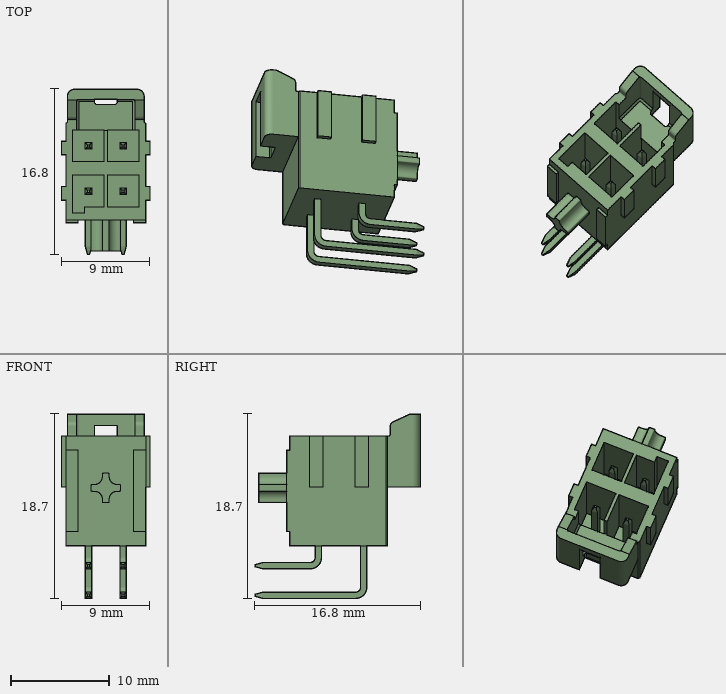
import cadquery as cq


BODY_WIDTH = 8.1
BODY_DEPTH = 9.92
BODY_HEIGHT = 11.15
BODY_REAR_CHAMFER = 0.15

COLUMN_PITCH = 3.5
ROW_PITCH = 4.6
FRONT_ROW_Y = 2.91
REAR_ROW_Y = FRONT_ROW_Y + ROW_PITCH
COLUMN_XS = (-COLUMN_PITCH / 2, COLUMN_PITCH / 2)
ROW_YS = (FRONT_ROW_Y, REAR_ROW_Y)

CAVITY_WIDTH = 3.22
CAVITY_DEPTH = 3.2
CAVITY_WALL = 0.34
CAVITY_FLOOR_Z = 1.5
CAVITY_OFFSET_X = (CAVITY_WIDTH + CAVITY_WALL) / 2
CAVITY_OUTER_X = CAVITY_WIDTH + CAVITY_WALL / 2
CAVITY_SHIFT_Y = 0.03
FRONT_CAVITY_Y = FRONT_ROW_Y + CAVITY_SHIFT_Y
REAR_CAVITY_BACK_Y = REAR_ROW_Y + CAVITY_SHIFT_Y + CAVITY_DEPTH / 2
DIVIDER_SETBACK = 0.08
KEY_WIDTH = 1.25
KEY_DEPTH = 0.65

HOOD_WIDTH = 7.8
HOOD_REAR_Y = 13.26
HOOD_BOTTOM_Z = 5.95
HOOD_TOP_Z = 13.35
HOOD_CORNER_RADIUS = 0.75
HOOD_REAR_WALL = 1.03
HOOD_INNER_WIDTH = 5.9
HOOD_INNER_REAR_Y = HOOD_REAR_Y - HOOD_REAR_WALL
HOOD_FLOOR_Z = 7.2
HOOD_INNER_RADIUS = 0.25
HOOD_FLOOR_CHAMFER = 0.22
CHEEK_FRONT_Y = 10.18
CHEEK_SLOPE_REAR_Y = 12.15
CHEEK_SLOPE_FRONT_Z = 12.43
CHEEK_TOP_RADIUS = 0.5
CHEEK_FOOT_RADIUS = 0.15

WINDOW_WIDTH = 2.28
WINDOW_TOP_Z = 12.2
WINDOW_FLOOR_REACH = 0.52
WINDOW_CORNER_CHAMFER = 0.15

RIB_SPAN = 9.0
RIB_DEPTH = 1.4
FRONT_RIB_Y = 2.7
RIB_YS = (FRONT_RIB_Y, FRONT_RIB_Y + ROW_PITCH)

PAD_WIDTH = 1.25
PAD_THICKNESS = 0.3
PAD_BOTTOM_Z = 1.45
PAD_TOP_Z = BODY_HEIGHT - PAD_BOTTOM_Z

PEG_Z = 5.88
PEG_SPAN = 3.0
PEG_ARM_WIDTH = 0.68
PEG_LENGTH = 3.14
PEG_ROOT_RADIUS = 0.82
PEG_TIP_RADIUS = 0.1

PIN_SIZE = 0.66
PIN_TIP_SIZE = 0.22
PIN_TAPER = 0.8
PIN_TAIL_Y = -3.5
PIN_TOP_Z = 9.5
FRONT_PIN_TAIL_Z = -2.0
REAR_PIN_TAIL_Z = -5.0
PIN_INNER_RADIUS = 0.5


def box(x_range, y_range, z_range):
    """Axis-aligned block between the given limits."""
    size = [high - low for low, high in (x_range, y_range, z_range)]
    corner = (x_range[0], y_range[0], z_range[0])
    return cq.Workplane("XY").box(*size, centered=False).translate(corner)


def centred_box(width, y_range, z_range):
    """Block centred on X = 0."""
    return box((-width / 2, width / 2), y_range, z_range)


def make_body():
    body = centred_box(BODY_WIDTH, (0, BODY_DEPTH), (0, BODY_HEIGHT))
    return body.edges("|Z and >Y").chamfer(BODY_REAR_CHAMFER)


def make_ribs():
    ribs = cq.Workplane("XY")
    for y in RIB_YS:
        y_range = (y - RIB_DEPTH / 2, y + RIB_DEPTH / 2)
        ribs = ribs.union(centred_box(RIB_SPAN, y_range, (HOOD_BOTTOM_Z, BODY_HEIGHT)))
    return ribs


def make_pads():
    half = BODY_WIDTH / 2
    pads = cq.Workplane("XY")
    for x_range in ((-half, PAD_WIDTH - half), (half - PAD_WIDTH, half)):
        pads = pads.union(box(x_range, (-PAD_THICKNESS, 0), (PAD_BOTTOM_Z, PAD_TOP_Z)))
    return pads


def make_peg():
    def bar(width, height):
        section = cq.Workplane("XZ").center(0, PEG_Z).rect(width, height)
        return section.extrude(PEG_LENGTH).edges("|Y").fillet(PEG_TIP_RADIUS)

    peg = bar(PEG_SPAN, PEG_ARM_WIDTH).union(bar(PEG_ARM_WIDTH, PEG_SPAN))
    root_box = cq.selectors.BoxSelector(
        (-PEG_ARM_WIDTH, -PEG_LENGTH, PEG_Z - PEG_ARM_WIDTH),
        (PEG_ARM_WIDTH, 0, PEG_Z + PEG_ARM_WIDTH),
    )
    return peg.edges("|Y").edges(root_box).fillet(PEG_ROOT_RADIUS)


def make_hood():
    """Solid hood; its side profile steps down from the tall cheeks to the housing top."""
    profile = (
        cq.Workplane("YZ")
        .moveTo(REAR_CAVITY_BACK_Y, HOOD_BOTTOM_Z)
        .lineTo(HOOD_REAR_Y, HOOD_BOTTOM_Z)
        .lineTo(HOOD_REAR_Y, HOOD_TOP_Z)
        .lineTo(CHEEK_SLOPE_REAR_Y, HOOD_TOP_Z)
        .lineTo(CHEEK_FRONT_Y, CHEEK_SLOPE_FRONT_Z)
        .lineTo(CHEEK_FRONT_Y, BODY_HEIGHT)
        .lineTo(REAR_CAVITY_BACK_Y, BODY_HEIGHT)
        .close()
    )
    hood = profile.extrude(HOOD_WIDTH / 2, both=True)
    hood = hood.edges("|Z and >Y").fillet(HOOD_CORNER_RADIUS)
    cheek_top = cq.selectors.NearestToPointSelector((0, CHEEK_FRONT_Y, CHEEK_SLOPE_FRONT_Z))
    cheek_foot = cq.selectors.NearestToPointSelector((0, CHEEK_FRONT_Y, BODY_HEIGHT))
    hood = hood.edges("|X").edges(cheek_top).fillet(CHEEK_TOP_RADIUS)
    return hood.edges("|X").edges(cheek_foot).fillet(CHEEK_FOOT_RADIUS)


def make_hood_channel():
    """Space inside the hood, open at the top and into the rear cavities."""
    y_range = (REAR_CAVITY_BACK_Y - DIVIDER_SETBACK, HOOD_INNER_REAR_Y)
    channel = centred_box(HOOD_INNER_WIDTH, y_range, (HOOD_FLOOR_Z, HOOD_TOP_Z))
    channel = channel.edges("|Z and >Y").fillet(HOOD_INNER_RADIUS)
    return channel.faces("<Z").edges("not(<Y)").chamfer(HOOD_FLOOR_CHAMFER)


def make_window():
    y_range = (HOOD_INNER_REAR_Y - WINDOW_FLOOR_REACH, HOOD_REAR_Y)
    window = centred_box(WINDOW_WIDTH, y_range, (HOOD_BOTTOM_Z, WINDOW_TOP_Z))
    return window.edges("|Z and <Y").chamfer(WINDOW_CORNER_CHAMFER)


def make_cavities():
    points = [
        (side * CAVITY_OFFSET_X, y + CAVITY_SHIFT_Y) for side in (-1, 1) for y in ROW_YS
    ]
    cavities = (
        cq.Workplane("XY")
        .workplane(offset=CAVITY_FLOOR_Z)
        .pushPoints(points)
        .rect(CAVITY_WIDTH, CAVITY_DEPTH)
        .extrude(BODY_HEIGHT - CAVITY_FLOOR_Z)
    )
    key_rear_y = FRONT_CAVITY_Y - CAVITY_DEPTH / 2
    key = box(
        (-CAVITY_OUTER_X, KEY_WIDTH - CAVITY_OUTER_X),
        (key_rear_y - KEY_DEPTH, key_rear_y),
        (CAVITY_FLOOR_Z, BODY_HEIGHT),
    )
    return cavities.union(key)


def make_pin(x, y, tail_z):
    """Pin bent from vertical to a tail that points towards -Y, tapered at both ends."""
    bend = PIN_INNER_RADIUS + PIN_SIZE / 2
    top_shoulder_z = PIN_TOP_Z - PIN_TAPER
    tail_shoulder_y = PIN_TAIL_Y + PIN_TAPER
    top_plane = cq.Workplane("XY", origin=(x, y, top_shoulder_z))
    tail_plane = cq.Workplane("XZ", origin=(x, tail_shoulder_y, tail_z))

    def shank(plane, length):
        return plane.rect(PIN_SIZE, PIN_SIZE).extrude(length)

    def tip(plane):
        base = plane.rect(PIN_SIZE, PIN_SIZE).workplane(offset=PIN_TAPER)
        return base.rect(PIN_TIP_SIZE, PIN_TIP_SIZE).loft(combine=True)

    elbow = (
        cq.Workplane("XY", origin=(x, y, tail_z + bend))
        .rect(PIN_SIZE, PIN_SIZE)
        .revolve(90, (1, -bend), (-1, -bend))
    )
    upright = shank(top_plane, tail_z + bend - top_shoulder_z)
    tail = shank(tail_plane, tail_shoulder_y - (y - bend))
    return upright.union(elbow).union(tail).union(tip(top_plane)).union(tip(tail_plane))


housing = make_body().union(make_hood()).union(make_ribs()).union(make_pads()).union(make_peg())
housing = housing.cut(make_hood_channel()).cut(make_window()).cut(make_cavities())

result = housing
for column_x in COLUMN_XS:
    for row_y, row_tail_z in zip(ROW_YS, (FRONT_PIN_TAIL_Z, REAR_PIN_TAIL_Z)):
        result = result.union(make_pin(column_x, row_y, row_tail_z))